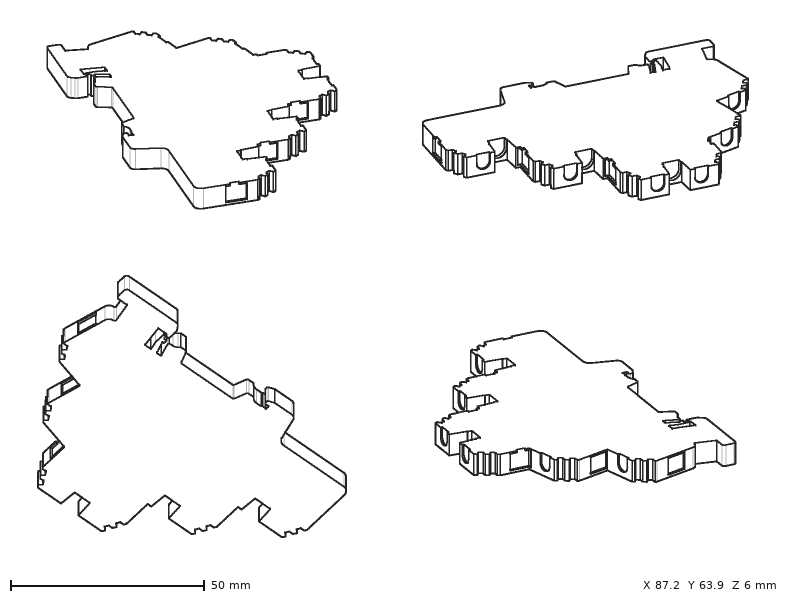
import cadquery as cq
import math

LENGTH = 87.15
HEIGHT = 63.9
THICKNESS = 6.0
UPRIGHT_TIERS = 3
TILTED_TIERS = 2
TILT = 15.0

UPRIGHT_PITCH_X = 18.375
UPRIGHT_PITCH_Y = 14.45
HALF_HEAD = 14.2
TOP_CENTRE_X = LENGTH - HALF_HEAD - (UPRIGHT_TIERS - 1) * UPRIGHT_PITCH_X
NOTCH_HALF_TOP = 2.95
NOTCH_HALF_FLOOR = 2.6
NOTCH_DEPTH = 5.0

TEETH_PER_HEAD = 2
TOOTH_STEP_OUT = 1.56
TOOTH_STEP_DOWN = 2.75
TOOTH = [(0.0, 0.0), (-0.93, -0.8), (-0.33, -1.83), (0.91, -1.83)]
UPRIGHT_TIP_INSET = 2.8
UPRIGHT_TIP_DROP = 0.8
TOP_CORNER_INSET = 0.52
SHOULDER_CHAMFER_OUT = 0.4
SHOULDER_CHAMFER_DOWN = 0.6

TILTED_PITCH_X = 9.63
TILTED_PITCH_Y = 17.64
LOW_TIP_X = 2.62
LOW_TIP_Y = 28.69
TILTED_TOP_INSET = 0.35
TILTED_TOP_RISE = 0.6
SHOULDER_FLAT = 0.5

RECESS_AXIS_Z = 3.45
SCREW_WIDTH = 3.7
SCREW_DEPTH = 0.5
SCREW_OFFSET = 6.15
TILTED_SCREW_DISTANCE = 3.65
JUMPER_WIDTH = 4.75
JUMPER_DEPTH = 1.2

ENTRY_LENGTH = 5.75
ENTRY_BOTTOM = 0.75
ENTRY_TOP = 5.5
ENTRY_DEPTH = 0.65
ENTRY_DROP = 11.8
TILTED_ENTRY_DROP = 11.75
RELIEF_LENGTH = 2.5
RELIEF_DROP = 12.25

OVERHANG_Y = 12.12
CLIP_SLOT_TOP = 10.78
WALL_END_Y = 10.05
CHANNEL_ROOF_Y = 9.2
LEDGE_Y = 6.31
PAD_Y = 5.29
FOOT_TOP = 3.97
RIGHT_FOOT_Y = 3.18
FOOT_RIGHT_X = 19.7


def upright_centre(tier):
    return TOP_CENTRE_X + tier * UPRIGHT_PITCH_X


def upright_top(tier):
    return HEIGHT - tier * UPRIGHT_PITCH_Y


def tilted_tip(tier):
    """First tooth tip of a tilted head; tier 0 is the lower one."""
    return LOW_TIP_X + tier * TILTED_PITCH_X, LOW_TIP_Y + tier * TILTED_PITCH_Y


def tilted_top_corner(tier):
    tip_x, tip_y = tilted_tip(tier)
    return tip_x + TILTED_TOP_INSET, tip_y + TILTED_TOP_RISE


def sharp(points):
    """Points turned into corners (x, y, radius) without rounding."""
    return [(x, y, 0.0) for x, y in points]


def teeth(tip_x, tip_y, outward):
    """Teeth running down and outward from the first tip; outward is +1 or -1 along X."""
    points = []
    for step in range(TEETH_PER_HEAD):
        for out, up in TOOTH:
            x = tip_x + outward * (out + step * TOOTH_STEP_OUT)
            points.append((x, tip_y + up - step * TOOTH_STEP_DOWN))
    return points


def upright_shoulder(tier, outward):
    """Head top corner, teeth and chamfer down to the side wall."""
    wall_x = upright_centre(tier) + outward * HALF_HEAD
    top = upright_top(tier)
    tip_x = wall_x - outward * UPRIGHT_TIP_INSET
    points = [(tip_x - outward * TOP_CORNER_INSET, top)]
    points += teeth(tip_x, top - UPRIGHT_TIP_DROP, outward)[:-1]
    land_y = points[-1][1]
    points.append((wall_x - outward * SHOULDER_CHAMFER_OUT, land_y))
    points.append((wall_x, land_y - SHOULDER_CHAMFER_DOWN))
    return points


def jumper_notch(tier):
    centre = upright_centre(tier)
    top = upright_top(tier)
    floor = top - NOTCH_DEPTH
    return [
        (centre - NOTCH_HALF_TOP, top),
        (centre - NOTCH_HALF_FLOOR, floor),
        (centre + NOTCH_HALF_FLOOR, floor),
        (centre + NOTCH_HALF_TOP, top),
    ]


def tilted_wall_x(tier):
    """Outermost X of a tilted head; the lower head touches X = 0."""
    return tier * TILTED_PITCH_X


def tilted_shoulder(tier):
    """Outline of a tilted head from its wall up over the teeth to the head top corner."""
    tip_x, tip_y = tilted_tip(tier)
    points = [tilted_top_corner(tier)] + teeth(tip_x, tip_y, -1)[:-1]
    land_y = points[-1][1]
    wall_x = tilted_wall_x(tier)
    points += [(wall_x, land_y), (wall_x, land_y - SHOULDER_FLAT)]
    return points[::-1]


def lean_x(tier, y):
    """X of the leaning wall of a tilted head at height y."""
    wall_top = tilted_shoulder(tier)[0]
    return wall_top[0] + (wall_top[1] - y) * math.tan(math.radians(TILT))


def heads_outline():
    """Corners from the left leaning wall, over all the heads, to the right side wall."""
    slope = math.tan(math.radians(TILT))
    points = []
    for tier in range(TILTED_TIERS):
        points += tilted_shoulder(tier)
        corner_x, corner_y = tilted_top_corner(tier)
        if tier + 1 < TILTED_TIERS:
            wall_x, wall_y = tilted_shoulder(tier + 1)[0]
            rise = (wall_x - corner_x + slope * (wall_y - corner_y)) * slope / (1 + slope**2)
            points.append((corner_x + rise / slope, corner_y + rise))
        else:
            wall_x = upright_centre(0) - HALF_HEAD
            points.append((wall_x, corner_y + (wall_x - corner_x) * slope))
    points += upright_shoulder(0, -1)[::-1]
    for tier in range(UPRIGHT_TIERS):
        if tier > 0:
            points.append((upright_centre(tier - 1) + HALF_HEAD, upright_top(tier)))
        points += jumper_notch(tier) + upright_shoulder(tier, 1)
    return sharp(points)


def right_foot_outline():
    """Overhang and fixed rail hook on the right, down to the first rail pad."""
    lip_x = 52.2
    groove_x = 53.62
    lip_top = 5.02
    bump_y = LEDGE_Y - 0.26
    return [
        (LENGTH, OVERHANG_Y, 2.0),
        (63.2, OVERHANG_Y, 2.0),
        (61.0, RIGHT_FOOT_Y, 1.4),
        (54.0, RIGHT_FOOT_Y, 0.0),
        (lip_x, 3.9, 0.3),
        (lip_x, lip_top, 0.3),
        (groove_x, lip_top, 0.0),
        (groove_x, LEDGE_Y, 0.0),
        (53.3, bump_y, 0.0),
        (52.5, bump_y, 0.0),
        (lip_x, LEDGE_Y, 0.0),
        (49.3, LEDGE_Y, 2.0),
        (48.7, PAD_Y, 0.0),
    ]


def rail_channel_outline():
    """Tapered channel between the two rail pads."""
    return [
        (46.6, PAD_Y, 0.5),
        (45.1, CHANNEL_ROOF_Y, 0.2),
        (27.3, CHANNEL_ROOF_Y, 0.4),
        (25.8, PAD_Y, 0.4),
        (23.8, PAD_Y, 0.0),
        (22.7, LEDGE_Y, 1.8),
    ]


def clip_finger_outline():
    """Springy finger hanging between two slanted slots, with a catch on its right side."""
    ledge_end_x = 20.75
    catch_top = 7.13
    catch_bottom = 6.07
    finger_left_x = 17.86
    return sharp([
        (ledge_end_x, LEDGE_Y),
        (ledge_end_x, 7.2),
        (21.85, CLIP_SLOT_TOP),
        (20.4, CLIP_SLOT_TOP),
        (19.15, catch_top),
        (FOOT_RIGHT_X, catch_top),
        (FOOT_RIGHT_X, catch_bottom),
        (18.95, catch_bottom),
        (18.4, 5.05),
        (finger_left_x, 5.02),
        (finger_left_x, 8.4),
        (18.4, CLIP_SLOT_TOP),
        (16.35, CLIP_SLOT_TOP),
    ])


def release_foot_outline():
    """Left foot under the clip finger, ending at the lowest leaning wall."""
    slot_floor = 4.47
    hook_top = 5.17
    foot_left_x = 0.8
    return [
        (15.5, slot_floor, 0.0),
        (18.2, slot_floor, 0.3),
        (19.0, hook_top, 0.3),
        (FOOT_RIGHT_X, hook_top, 0.3),
        (FOOT_RIGHT_X, 1.95, 1.4),
        (18.5, 0.0, 1.4),
        (foot_left_x, 0.0, 0.9),
        (foot_left_x, FOOT_TOP, 0.75),
        (4.45, FOOT_TOP, 0.0),
        (5.6, WALL_END_Y, 0.35),
        (lean_x(0, WALL_END_Y), WALL_END_Y, 2.0),
    ]


def underside_outline():
    """Corners (x, y, fillet radius) of the underside, from the right wall to the left wall."""
    right_side = right_foot_outline() + rail_channel_outline()
    return right_side + clip_finger_outline() + release_foot_outline()


def rounded_outline(corners):
    """Closed wire through corners (x, y, radius), each rounded by a tangent arc of its radius."""
    count = len(corners)
    sketch = None
    for i, (x, y, radius) in enumerate(corners):
        before = cq.Vector(*corners[i - 1][:2])
        after = cq.Vector(*corners[(i + 1) % count][:2])
        corner = cq.Vector(x, y)
        to_before = (before - corner).normalized()
        to_after = (after - corner).normalized()
        half_angle = to_before.getAngle(to_after) / 2
        setback = radius / math.tan(half_angle)
        arc_start = corner + to_before * setback
        if sketch is None:
            sketch = cq.Workplane("XY").moveTo(arc_start.x, arc_start.y)
        else:
            sketch = sketch.lineTo(arc_start.x, arc_start.y)
        if radius > 0:
            bisector = (to_before + to_after).normalized()
            arc_middle = corner + bisector * (radius / math.sin(half_angle) - radius)
            arc_end = corner + to_after * setback
            sketch = sketch.threePointArc((arc_middle.x, arc_middle.y), (arc_end.x, arc_end.y))
    return sketch.close()


def round_ended_recess(x, y, width, depth, tilt=0.0):
    """Cutter for a recess sunk below (x, y) in an edge face, open upward in Z."""
    side_height = THICKNESS - RECESS_AXIS_Z
    cutter = cq.Workplane("XZ").circle(width / 2).extrude(depth)
    cutter = cutter.union(
        cq.Workplane("XZ").rect(width, side_height).extrude(depth).translate((0, 0, side_height / 2))
    )
    return cutter.rotate((0, 0, 0), (0, 0, 1), tilt).translate((x, y, RECESS_AXIS_Z))


def wall_pocket(x, y, length, bottom, top, tilt=0.0):
    """Cutter for a box pocket centred on the wall point (x, y), reaching ENTRY_DEPTH into it."""
    box = cq.Workplane("XY").box(2 * ENTRY_DEPTH, length, top - bottom)
    return box.rotate((0, 0, 0), (0, 0, 1), tilt).translate((x, y, (bottom + top) / 2))


def upright_entry(tier, side):
    """Wire entry in the left (-1) or right (+1) wall, with its relief to the upper face."""
    wall_x = upright_centre(tier) + side * HALF_HEAD
    top = upright_top(tier)
    pocket = wall_pocket(wall_x, top - ENTRY_DROP, ENTRY_LENGTH, ENTRY_BOTTOM, ENTRY_TOP)
    relief = wall_pocket(wall_x, top - RELIEF_DROP, RELIEF_LENGTH, ENTRY_BOTTOM, THICKNESS)
    return pocket.union(relief)


def upright_cutters():
    cutters = [upright_entry(0, -1)]
    for tier in range(UPRIGHT_TIERS):
        centre = upright_centre(tier)
        top = upright_top(tier)
        screw_sides = (-1, 1) if tier == 0 else (1,)
        for side in screw_sides:
            screw_x = centre + side * SCREW_OFFSET
            cutters.append(round_ended_recess(screw_x, top, SCREW_WIDTH, SCREW_DEPTH))
        cutters.append(round_ended_recess(centre, top - NOTCH_DEPTH, JUMPER_WIDTH, JUMPER_DEPTH))
        cutters.append(upright_entry(tier, 1))
    return cutters


def tilted_cutters():
    cutters = []
    for tier in range(TILTED_TIERS):
        corner_x, corner_y = tilted_top_corner(tier)
        screw_x = corner_x + TILTED_SCREW_DISTANCE * math.cos(math.radians(TILT))
        screw_y = corner_y + TILTED_SCREW_DISTANCE * math.sin(math.radians(TILT))
        cutters.append(round_ended_recess(screw_x, screw_y, SCREW_WIDTH, SCREW_DEPTH, TILT))
        entry_y = tilted_tip(tier)[1] - TILTED_ENTRY_DROP
        entry_x = lean_x(tier, entry_y)
        cutters.append(wall_pocket(entry_x, entry_y, ENTRY_LENGTH, ENTRY_BOTTOM, ENTRY_TOP, TILT))
    return cutters


result = rounded_outline(heads_outline() + underside_outline()).extrude(THICKNESS)
for cutter in upright_cutters() + tilted_cutters():
    result = result.cut(cutter)